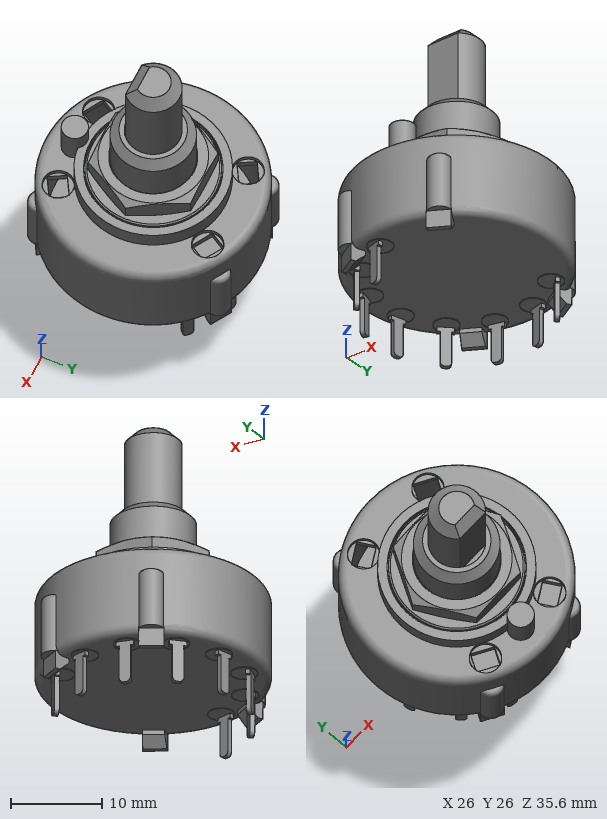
import cadquery as cq
import math

body_dia = 26.0
body_height = 10.5
body_edge_radius = 1.0
wall = 1.2

collar_dia = 17.4
collar_height = 2.0
recess_dia = 15.3
recess_depth = 0.3
washer_dia = 15.0
washer_rise = 0.1
washer_bevel = 0.2

bushing_dia = 9.5
bushing_height = 10.0
bushing_chamfer = 1.0
nut_across_flats = 12.4
nut_height = 2.45
nut_face_dia = 12.15
nut_corner_drop = 0.5
nut_bore_dia = 9.75
nut_bore_depth = 0.3

shaft_dia = 6.35
shaft_height = 20.0
shaft_chamfer = 1.2
flat_cut = 0.79
flat_sink = 1.0

post_dia = 3.0
post_height = 4.0
post_offset = 9.5

station_angles = (60, 120, 240, 300)
hook_tapered_sides = (1, -1, 1, -1)
window_dia = 3.55
window_depth = 0.5
window_radius = 10.45
hook_width = 2.77
rib_dia = 2.9
rib_center_radius = 12.4
rib_bottom = 0.45
rib_top = 7.5
rib_edge_radius = 0.5
hook_outer_radius = body_dia / 2
hook_inner_radius = 11.15
hook_side_taper = 0.32
hook_depth = 1.7
hook_step = 0.55
hook_tip = 0.6

pin_pitch = 30
pin_count = 8
first_pin_angle = 45
pin_radius = 11.06
pin_width = 1.27
pin_thickness = 0.55
pin_length = 5.1
pin_tip_radius = 0.5
shoulder_width = 1.95
shoulder_length = 0.65
pad_dia = 3.0
pad_height = 0.1
pad_radius = 10.4

roof = body_height
collar_top = roof + collar_height
nut_bottom = collar_top + washer_rise
nut_top = nut_bottom + nut_height
bushing_top = roof + bushing_height
shaft_top = roof + shaft_height


def cylinder(diameter, bottom, top, x=0.0, y=0.0):
    """Upright cylinder between two heights."""
    return cq.Workplane("XY", origin=(x, y, bottom)).circle(diameter / 2).extrude(top - bottom)


def block(size_x, size_y, bottom, top, x=0.0):
    """Upright rectangular block between two heights, centred on the X axis."""
    return cq.Workplane("XY", origin=(x, 0, bottom)).rect(size_x, size_y).extrude(top - bottom)


def turned(shape, angle):
    """Move a shape built on the +X axis to its angle about the Z axis."""
    return shape.rotate((0, 0, 0), (0, 0, 1), angle)


def make_body():
    """Housing block and collar, with the bevelled washer in the collar recess."""
    body = cylinder(body_dia, 0, roof).edges().fillet(body_edge_radius)
    collar = cylinder(collar_dia, roof - wall, collar_top)
    recess = cylinder(recess_dia, collar_top - recess_depth, collar_top)
    washer = cylinder(washer_dia, collar_top - recess_depth, nut_bottom)
    washer = washer.faces(">Z").edges().chamfer(washer_rise, washer_bevel)
    return body.union(collar).cut(recess).union(washer)


def make_cavity():
    """Hollow inside the housing, under the roof and above the floor."""
    return cylinder(body_dia - 2 * wall, wall, roof - wall)


def make_nut():
    """Hexagon nut whose corners are turned down to a cone on both faces."""
    corner_radius = nut_across_flats / math.sqrt(3)
    nut = cq.Workplane("XY", origin=(0, 0, nut_bottom)).polygon(6, 2 * corner_radius).extrude(nut_height)
    envelope = (
        cq.Workplane("XZ")
        .moveTo(0, nut_bottom)
        .lineTo(nut_face_dia / 2, nut_bottom)
        .lineTo(corner_radius, nut_bottom + nut_corner_drop)
        .lineTo(corner_radius, nut_top - nut_corner_drop)
        .lineTo(nut_face_dia / 2, nut_top)
        .lineTo(0, nut_top)
        .close()
        .revolve(360, (0, 0, 0), (0, 1, 0))
    )
    bore = cylinder(nut_bore_dia, nut_top - nut_bore_depth, nut_top)
    return nut.intersect(envelope).cut(bore)


def make_bushing():
    """Bushing with a chamfered rim and a shallow bore around the shaft."""
    bushing = cylinder(bushing_dia, roof, bushing_top).faces(">Z").chamfer(bushing_chamfer)
    return bushing.cut(cylinder(shaft_dia, bushing_top - flat_sink, bushing_top))


def make_shaft():
    """Shaft whose flat runs a little way down inside the bushing."""
    bottom = bushing_top - flat_sink
    flat_y = -(shaft_dia / 2 - flat_cut)
    shaft = cylinder(shaft_dia, bottom, shaft_top).faces(">Z").chamfer(shaft_chamfer)
    flat_profile = [
        (flat_y - flat_cut, bottom),
        (flat_y, bottom),
        (flat_y, shaft_top - shaft_chamfer),
        (flat_y + shaft_chamfer, shaft_top),
        (flat_y - flat_cut, shaft_top),
    ]
    flat = cq.Workplane("YZ").polyline(flat_profile).close().extrude(shaft_dia, both=True)
    return shaft.cut(flat)


def make_window():
    """Shallow round sink with the largest hook-wide rectangle cut through the roof below it."""
    sink = cylinder(window_dia, roof - window_depth, roof, window_radius)
    slot_length = math.sqrt(window_dia**2 - hook_width**2)
    slot = block(slot_length, hook_width, roof - wall, roof, window_radius)
    return sink.union(slot)


def make_rib():
    """Round rib on the outside wall, rounded over at its top."""
    rib = cylinder(rib_dia, rib_bottom, rib_top, rib_center_radius)
    return rib.faces(">Z").edges().fillet(rib_edge_radius)


def make_hook(tapered_side):
    """Snap hook below the rib, sloping in from its tip, with one flank (+1 or -1) tapering inward."""
    half_width = hook_width / 2
    profile = [
        (hook_outer_radius, rib_bottom),
        (hook_outer_radius, -hook_depth),
        (hook_outer_radius - hook_tip, -hook_depth),
        (hook_inner_radius, -hook_step),
        (hook_inner_radius, rib_bottom),
    ]
    plan = [
        (hook_outer_radius, -tapered_side * half_width),
        (hook_outer_radius, tapered_side * half_width),
        (hook_inner_radius, tapered_side * (half_width - hook_side_taper)),
        (hook_inner_radius, -tapered_side * half_width),
    ]
    hook = cq.Workplane("XZ").polyline(profile).close().extrude(half_width, both=True)
    taper = cq.Workplane("XY", origin=(0, 0, -hook_depth)).polyline(plan).close()
    return hook.intersect(taper.extrude(hook_depth + rib_bottom))


def make_pin():
    """Flat pin with a wider shoulder, on a thin round pad."""
    pin = block(pin_thickness, pin_width, -pin_length, 0, pin_radius)
    pin = pin.faces("<Z").edges("|X").fillet(pin_tip_radius)
    shoulder = block(pin_thickness, shoulder_width, -shoulder_length, 0, pin_radius)
    pad = cylinder(pad_dia, -pad_height, wall / 2, pad_radius)
    return pin.union(shoulder).union(pad)


result = make_body().cut(make_cavity())
result = result.union(make_bushing()).union(make_nut()).union(make_shaft())
result = result.union(cylinder(post_dia, roof - wall, roof + post_height, 0, -post_offset))

for angle, tapered_side in zip(station_angles, hook_tapered_sides):
    snap = make_rib().union(make_hook(tapered_side)).cut(make_cavity())
    result = result.union(turned(snap, angle))
    result = result.cut(turned(make_window(), angle))

for index in range(pin_count):
    result = result.union(turned(make_pin(), first_pin_angle + index * pin_pitch))